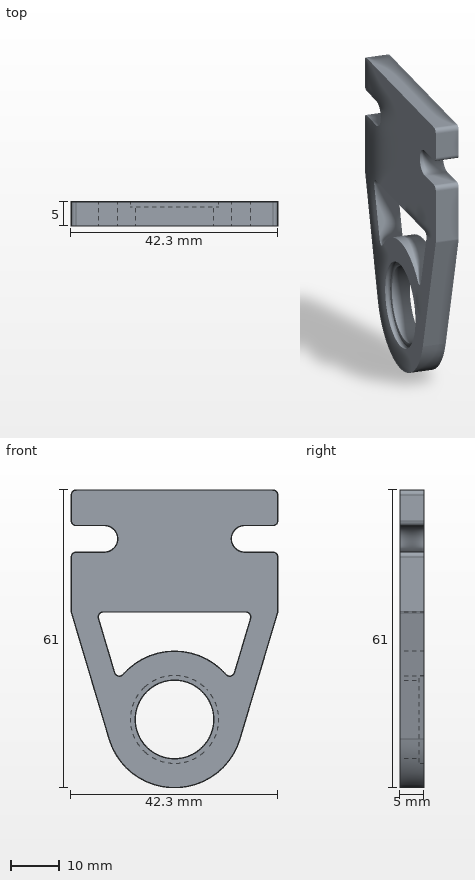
import cadquery as cq
import math

THICKNESS = 5.0
PLATE_WIDTH = 42.3
HEIGHT = 60.97
RING_RADIUS = 14.0
SHOULDER_DROP = 25.0
CORNER_RADIUS = 1.0

HOLE_DIAMETER = 16.05
COUNTERBORE_DIAMETER = 18.05
COUNTERBORE_DEPTH = 1.1

SLOT_WIDTH = 5.4
SLOT_DEPTH = 9.5
SLOT_DROP = 10.0

ARM_WIDTH = 5.0

half_width = PLATE_WIDTH / 2
top_z = HEIGHT - RING_RADIUS
shoulder_z = top_z - SHOULDER_DROP
slot_z = top_z - SLOT_DROP

shoulder_distance = math.hypot(half_width, shoulder_z)
taper_angle = math.atan2(half_width, shoulder_z) - math.asin(RING_RADIUS / shoulder_distance)
tangent_x = RING_RADIUS * math.cos(taper_angle)
tangent_z = -RING_RADIUS * math.sin(taper_angle)


def front_sketch():
    """Sketch plane on the front face: local x = X, local y = Z, normal towards -Y."""
    return cq.Workplane("XZ")


def extrude_back(profile):
    """Extrude a profile from the front face through to the back face."""
    return profile.extrude(-THICKNESS)


def slot(side):
    """Round-ended slot cut in from the left (side = -1) or right (side = 1) edge."""
    slot_radius = SLOT_WIDTH / 2
    edge_x = side * half_width
    tip_x = side * (half_width - SLOT_DEPTH)
    arc_x = side * (half_width - SLOT_DEPTH + slot_radius)
    profile = (
        front_sketch()
        .moveTo(edge_x, slot_z + slot_radius)
        .lineTo(arc_x, slot_z + slot_radius)
        .threePointArc((tip_x, slot_z), (arc_x, slot_z - slot_radius))
        .lineTo(edge_x, slot_z - slot_radius)
        .close()
    )
    return extrude_back(profile)


def plate():
    """Plate with tapered sides, a round lower end, two side slots and rounded corners."""
    outline = (
        front_sketch()
        .moveTo(-half_width, top_z)
        .lineTo(half_width, top_z)
        .lineTo(half_width, shoulder_z)
        .lineTo(tangent_x, tangent_z)
        .threePointArc((0, -RING_RADIUS), (-tangent_x, tangent_z))
        .lineTo(-half_width, shoulder_z)
        .close()
    )
    body = extrude_back(outline)
    for side in (-1, 1):
        body = body.cut(slot(side))
    side_corners = body.faces("<X or >X").edges("|Y")
    return body.newObject(side_corners.vals()).fillet(CORNER_RADIUS)


def window():
    """Window between the arms, bounded below by the ring, with rounded corners."""
    inset = ARM_WIDTH / math.cos(taper_angle)
    top_half_width = half_width - inset
    bottom_half_width = top_half_width - shoulder_z * math.tan(taper_angle)
    trapezoid = (
        front_sketch()
        .moveTo(-top_half_width, shoulder_z)
        .lineTo(top_half_width, shoulder_z)
        .lineTo(bottom_half_width, 0)
        .lineTo(-bottom_half_width, 0)
        .close()
    )
    ring = extrude_back(front_sketch().circle(RING_RADIUS))
    opening = extrude_back(trapezoid).cut(ring)
    return opening.edges("|Y").fillet(CORNER_RADIUS)


def hole():
    """Through hole with a shallow counterbore in the back face."""
    bore = extrude_back(front_sketch().circle(HOLE_DIAMETER / 2))
    counterbore = (
        cq.Workplane("XZ", origin=(0, THICKNESS, 0))
        .circle(COUNTERBORE_DIAMETER / 2)
        .extrude(COUNTERBORE_DEPTH)
    )
    return bore.union(counterbore)


result = plate().cut(window()).cut(hole())